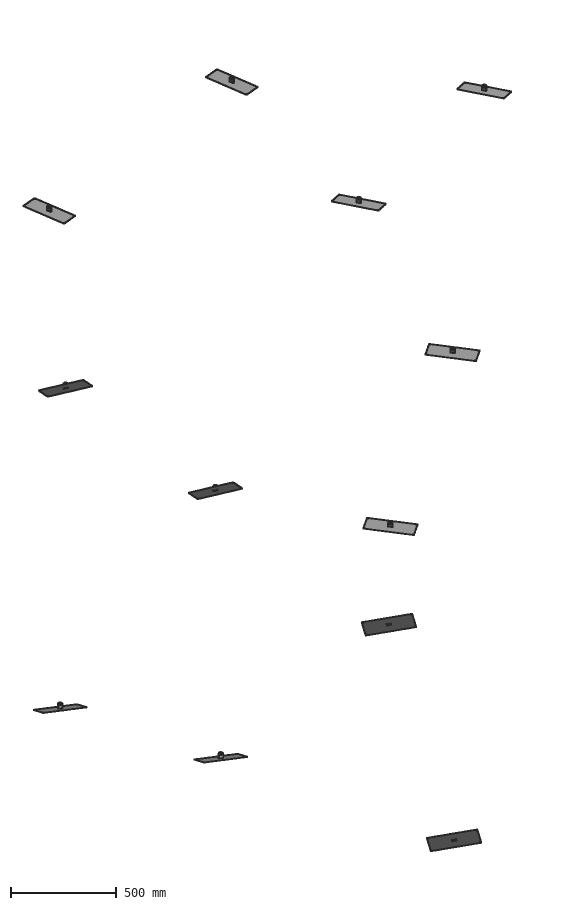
import cadquery as cq

overall_length = 1486.0
overall_height = 30.0

plate_length = 245.0
plate_width = 86.0
plate_corner_radius = 1.6
plate_thickness = 1.3
corner_hole_diameter = 2.2
corner_hole_inset = 5.0

lug_width = 22.0
lug_thickness = 1.0
lug_spacing = 7.0
lug_corner_radius = 10.0
lug_hole_diameter = 5.0
lug_hole_height = 20.0

plate_offset = (overall_length - plate_width) / 2


def make_plate():
    """Flat plate with rounded corners and a small through hole near each corner."""
    plate = (
        cq.Workplane("XY")
        .box(plate_length, plate_width, plate_thickness, centered=(True, True, False))
        .edges("|Z")
        .fillet(plate_corner_radius)
    )
    corner_holes = (
        cq.Workplane("XY")
        .rect(
            plate_length - 2 * corner_hole_inset,
            plate_width - 2 * corner_hole_inset,
            forConstruction=True,
        )
        .vertices()
        .circle(corner_hole_diameter / 2)
        .extrude(plate_thickness)
    )
    return plate.cut(corner_holes)


def make_lug(center_y):
    """Thin upright lug with rounded upper corners and a cross hole."""
    lug = (
        cq.Workplane("XY")
        .box(lug_width, lug_thickness, overall_height, centered=(True, True, False))
        .edges("|Y and >Z")
        .fillet(lug_corner_radius)
    )
    cross_hole = (
        cq.Workplane("XZ")
        .center(0, lug_hole_height)
        .circle(lug_hole_diameter / 2)
        .extrude(lug_thickness, both=True)
    )
    return lug.cut(cross_hole).translate((0, center_y, 0))


def make_bracket(center_y):
    """One bracket: a plate and its two lugs as a single solid."""
    bracket = make_plate()
    for side in (-1, 1):
        bracket = bracket.union(make_lug(side * lug_spacing / 2))
    return bracket.translate((0, center_y, 0))


brackets = [make_bracket(side * plate_offset) for side in (-1, 1)]

result = cq.Compound.makeCompound([bracket.val() for bracket in brackets])